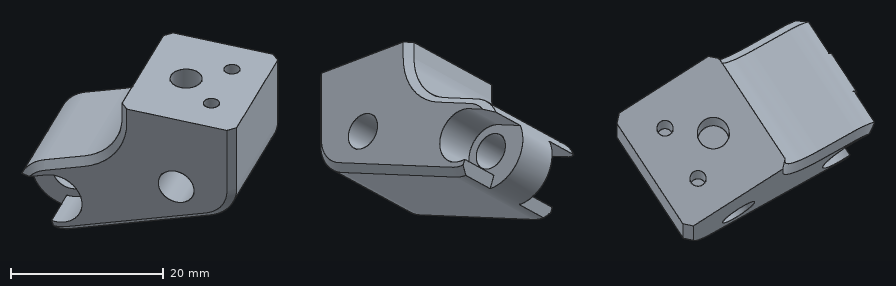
import cadquery as cq
import math

width = 18.0
half_width = width / 2
arm_angle = 20.0
pivot_radius = 5.5
block_left = 9.0
block_right = 30.5 - pivot_radius
block_top = 22.6 - pivot_radius
heel_radius = 5.5
neck_radius = 8.0
edge_chamfer = 1.0

pin_diameter = 5.0
pin_spacing = 18.0
tab_width = 6.0
recess_radius = 3.75
recess_lip = 1.77

screw_x = 15.05
screw_diameter = 4.2
dowel_x = 20.03
dowel_offset = 4.0
dowel_diameter = 2.1
top_hole_depth = 6.0

sine = math.sin(math.radians(arm_angle))
cosine = math.cos(math.radians(arm_angle))


def along_arm(along, across):
    """Convert a position in the sloping arm's frame to X and Z."""
    return along * cosine - across * sine, along * sine + across * cosine


def extrude_across(sketch, near_y, far_y):
    """Extrude a sketch made on the XZ plane at Y = 0 between two Y positions."""
    return sketch.extrude(far_y - near_y).translate((0, far_y, 0))


def make_body():
    """Sloping arm running into an upright block, with chamfered side outlines."""
    heel_z = (block_right * sine - pivot_radius) / cosine
    neck_z = (block_left * sine + pivot_radius) / cosine
    outline = (
        cq.Workplane("XZ")
        .moveTo(*along_arm(0, -pivot_radius))
        .lineTo(block_right, heel_z)
        .lineTo(block_right, block_top)
        .lineTo(block_left, block_top)
        .lineTo(block_left, neck_z)
        .lineTo(*along_arm(0, pivot_radius))
        .threePointArc(along_arm(-pivot_radius, 0), along_arm(0, -pivot_radius))
        .close()
    )
    body = extrude_across(outline, -half_width, half_width)
    heel_edge = cq.selectors.NearestToPointSelector((block_right, 0, heel_z))
    body = body.edges(heel_edge).fillet(heel_radius)
    neck_edge = cq.selectors.NearestToPointSelector((block_left, 0, neck_z))
    body = body.edges(neck_edge).fillet(neck_radius)

    return body.faces("<Y or >Y").edges("not >Z").chamfer(edge_chamfer)


def make_recess(near_y, far_y):
    """Round pocket at the pivot, open towards the rounded end of the arm."""
    reach = 2 * pivot_radius
    lip_across = -math.sqrt(recess_radius**2 - recess_lip**2)
    outline = (
        cq.Workplane("XZ")
        .moveTo(*along_arm(0, recess_radius))
        .threePointArc(along_arm(recess_radius, 0), along_arm(-recess_lip, lip_across))
        .lineTo(*along_arm(-recess_lip, -reach))
        .lineTo(*along_arm(-reach, -reach))
        .lineTo(*along_arm(-reach, recess_radius))
        .close()
    )
    return extrude_across(outline, near_y, far_y)


def make_pin_holes():
    """Cross holes at both ends of the arm."""
    centers = [along_arm(0, 0), along_arm(pin_spacing, 0)]
    circles = cq.Workplane("XZ").pushPoints(centers).circle(pin_diameter / 2)
    return extrude_across(circles, -half_width, half_width)


def make_top_holes(centers, diameter):
    """Blind holes sunk into the top of the block."""
    top = cq.Workplane("XY", origin=(0, 0, block_top))
    return top.pushPoints(centers).circle(diameter / 2).extrude(-top_hole_depth)


result = (
    make_body()
    .cut(make_recess(-half_width, -tab_width / 2))
    .cut(make_recess(tab_width / 2, half_width))
    .cut(make_pin_holes())
    .cut(make_top_holes([(screw_x, 0)], screw_diameter))
    .cut(make_top_holes([(dowel_x, -dowel_offset), (dowel_x, dowel_offset)], dowel_diameter))
)